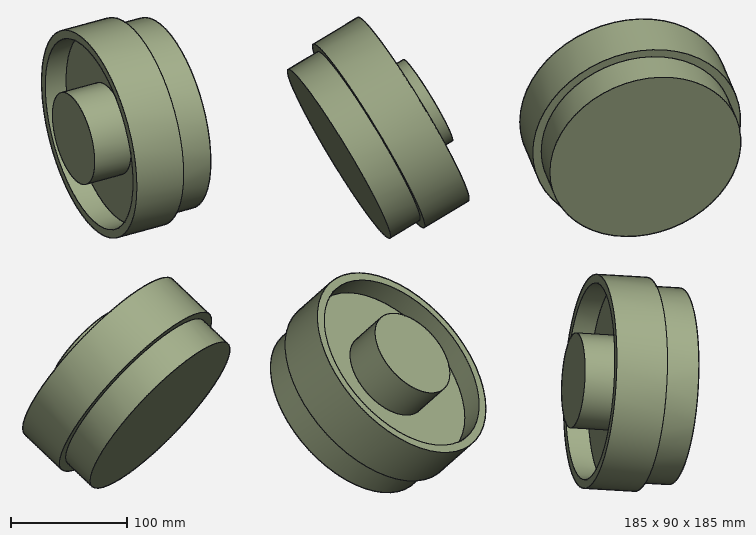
import cadquery as cq

rim_diameter = 185.0
rim_length = 45.0
rear_diameter = 170.0
rear_length = 30.0
recess_diameter = 170.0
recess_depth = 20.0
boss_diameter = 82.0
boss_projection = 15.0

boss_face_y = 0.0
rim_face_y = boss_face_y + boss_projection
recess_floor_y = rim_face_y + recess_depth
shoulder_y = rim_face_y + rim_length
rear_face_y = shoulder_y + rear_length


def cylinder_along_y(diameter, start_y, end_y):
    """Solid cylinder on the Y axis between two Y positions."""
    return (
        cq.Workplane("XZ", origin=(0, start_y, 0))
        .circle(diameter / 2)
        .extrude(start_y - end_y)
    )


rim = cylinder_along_y(rim_diameter, rim_face_y, shoulder_y)
rear_step = cylinder_along_y(rear_diameter, shoulder_y, rear_face_y)
recess = cylinder_along_y(recess_diameter, rim_face_y, recess_floor_y)
boss = cylinder_along_y(boss_diameter, boss_face_y, recess_floor_y)

result = rim.union(rear_step).cut(recess).union(boss)